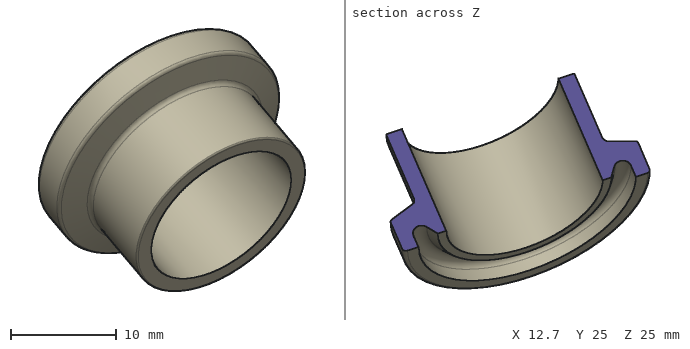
import cadquery as cq
import math

length = 12.7
flange_radius = 25 / 2
tube_radius = 19.05 / 2
bore_radius = 15.75 / 2

groove_outer_radius = 21.9 / 2
groove_wall_depth = 1.35
groove_floor_radius = 0.8
nub_setback = 0.75
nub_slope = math.radians(35)

rim_width = 3.67
cone_slope = math.radians(20)
rim_fillet = 0.4
neck_fillet = 0.55
tube_end_fillet = 0.15

neck_x = rim_width + (flange_radius - tube_radius) * math.tan(cone_slope)

floor_center_radius = groove_outer_radius - groove_floor_radius
floor_sweep = math.pi - nub_slope


def floor_point(angle):
    """Point (x, radius) of the groove floor, with the angle turned from the outer wall."""
    return (
        groove_wall_depth + groove_floor_radius * math.sin(angle),
        floor_center_radius + groove_floor_radius * math.cos(angle),
    )


nub_foot_x, nub_foot_radius = floor_point(floor_sweep)
nub_face_radius = nub_foot_radius - (nub_foot_x - nub_setback) * math.tan(nub_slope)

profile = (
    cq.Workplane("XY")
    .moveTo(nub_setback, bore_radius)
    .lineTo(nub_setback, nub_face_radius)
    .lineTo(nub_foot_x, nub_foot_radius)
    .threePointArc(floor_point(floor_sweep / 2), floor_point(0))
    .lineTo(0, groove_outer_radius)
    .lineTo(0, flange_radius)
    .lineTo(rim_width, flange_radius)
    .lineTo(neck_x, tube_radius)
    .lineTo(length, tube_radius)
    .lineTo(length, bore_radius)
    .close()
)
body = profile.revolve(360, (0, 0, 0), (1, 0, 0))


def round_edge(solid, x, radius, fillet):
    """Fillet the circular edge around the X axis at the given x and radius."""
    tolerance = 0.002
    edges = [
        edge
        for edge in solid.edges("%CIRCLE").vals()
        if abs(edge.arcCenter().x - x) < tolerance and abs(edge.radius() - radius) < tolerance
    ]
    return solid.newObject(edges).fillet(fillet)


body = round_edge(body, 0, flange_radius, rim_fillet)
body = round_edge(body, rim_width, flange_radius, rim_fillet)
body = round_edge(body, neck_x, tube_radius, neck_fillet)
result = round_edge(body, length, tube_radius, tube_end_fillet)